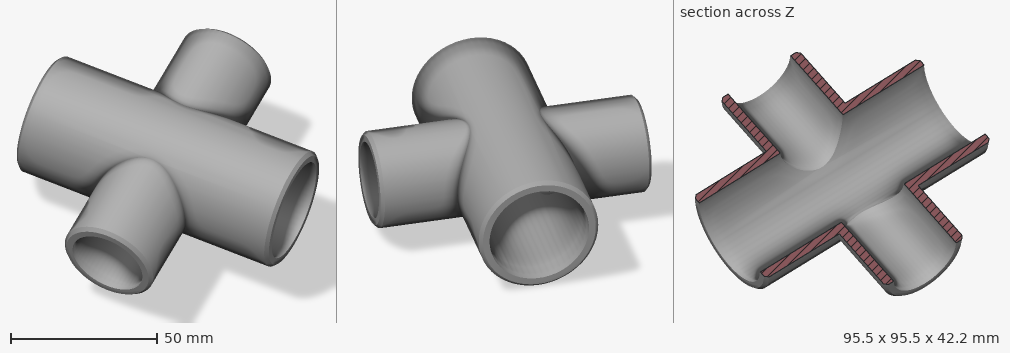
import cadquery as cq

LENGTH = 95.5
RUN_DIAMETER = 42.16
BRANCH_DIAMETER = 33.56
WALL = 3.56
END_CHAMFER = 1.2

RUN_PLANE = "YZ"
BRANCH_PLANE = "XZ"


def centred_cylinder(plane, diameter):
    """Cylinder of full length, centred on the origin along the plane's normal."""
    return cq.Workplane(plane).circle(diameter / 2).extrude(LENGTH / 2, both=True)


def bevelled_bar(plane, diameter):
    """Solid outer body of one pipe, chamfered at both ends."""
    return centred_cylinder(plane, diameter).edges("%CIRCLE").chamfer(END_CHAMFER)


def bore(plane, diameter):
    """Through bore that leaves the wall thickness inside the given outer diameter."""
    return centred_cylinder(plane, diameter - 2 * WALL)


outer_body = bevelled_bar(RUN_PLANE, RUN_DIAMETER).union(bevelled_bar(BRANCH_PLANE, BRANCH_DIAMETER))

result = outer_body.cut(bore(RUN_PLANE, RUN_DIAMETER)).cut(bore(BRANCH_PLANE, BRANCH_DIAMETER))